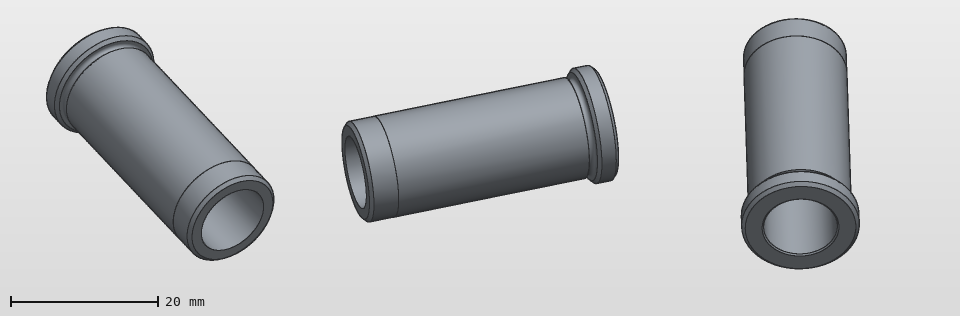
import cadquery as cq

length = 35.0
head_diameter = 16.0
body_diameter = 14.0
lead_diameter = 13.95
bore_diameter = 10.0

head_thickness = 3.0
lead_length = 4.0
edge_chamfer = 0.5
bore_chamfer = 0.2
groove_radius = 0.5

head_radius = head_diameter / 2
body_radius = body_diameter / 2
lead_radius = lead_diameter / 2
bore_radius = bore_diameter / 2
groove_center = head_thickness + groove_radius
groove_end = head_thickness + 2 * groove_radius
lead_start = length - lead_length

half_section = (
    cq.Workplane("XY")
    .moveTo(0, bore_radius + bore_chamfer)
    .lineTo(0, head_radius - edge_chamfer)
    .lineTo(edge_chamfer, head_radius)
    .lineTo(head_thickness - edge_chamfer, head_radius)
    .lineTo(head_thickness, head_radius - edge_chamfer)
    .lineTo(head_thickness, body_radius)
    .threePointArc((groove_center, body_radius - groove_radius), (groove_end, body_radius))
    .lineTo(lead_start, body_radius)
    .lineTo(lead_start, lead_radius)
    .lineTo(length - edge_chamfer, lead_radius)
    .lineTo(length, lead_radius - edge_chamfer)
    .lineTo(length, bore_radius)
    .lineTo(bore_chamfer, bore_radius)
    .close()
)

result = half_section.revolve(360, (0, 0, 0), (1, 0, 0))